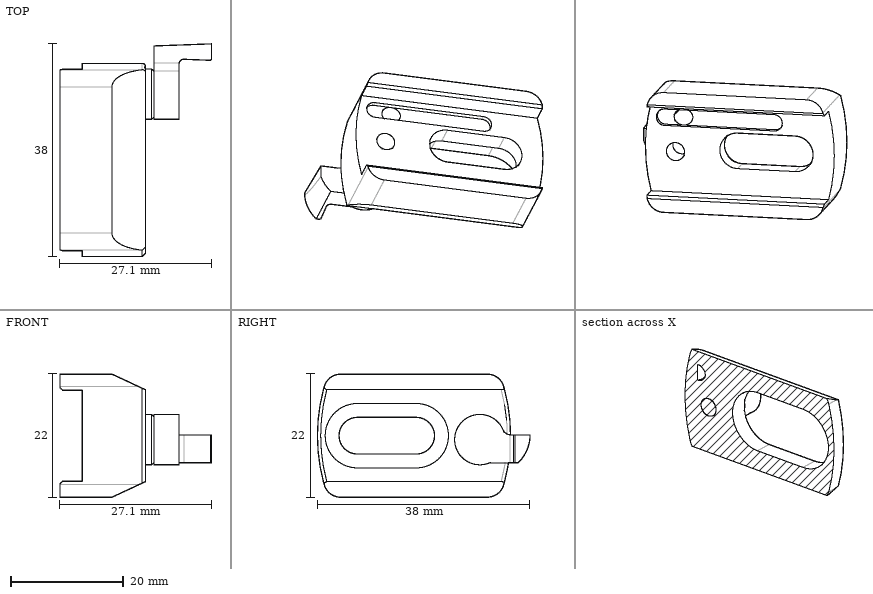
import cadquery as cq
import math

HOUSING_DEPTH = 15.3
HOUSING_LENGTH = 34.5
HOUSING_HEIGHT = 22.0
END_RADIUS = 32.0
CORNER_RADIUS = 3.1

CHANNEL_DEPTH = 4.0
CHANNEL_HEIGHT = 16.2
LIP_CHAMFER = 0.5

BEVEL_START = 9.3
BEVEL_ANGLE = 25.0
BACK_EDGE_SIZE = 0.6

SLOT_Y = -4.85
SLOT_LENGTH = 17.0
SLOT_WIDTH = 6.5
SLOT_LAND = 4.0
SLOT_STEP = 2.5

GROOVE_Y = 3.75
GROOVE_Z = 5.5
GROOVE_LENGTH = 23.0
GROOVE_WIDTH = 3.0
GROOVE_DEPTH = 1.0
SLANT_HOLE_DIAMETER = GROOVE_WIDTH
SLANT_HOLE_Y = 10.5
SLANT_HOLE_DEPTH = 8.0
SLANT_ANGLE = 28.0

PIVOT_Y = 11.75
PIVOT_Z = -0.7
PIVOT_DIAMETER = 3.3
PIN_INSERTION = 6.0

COLLAR_DIAMETER = 9.0
COLLAR_THICKNESS = 1.5
COLLAR_CHAMFER = 0.4

HUB_RADIUS = COLLAR_DIAMETER / 2
HUB_THICKNESS = 4.5
HUB_START = HOUSING_DEPTH + COLLAR_THICKNESS
HUB_END = HUB_START + HUB_THICKNESS
LEVER_TIP_X = 27.1

ARM_TOP = 0.85
ARM_HEIGHT = 5.0
ARM_REACH = 8.99
ARM_NOSE_RADIUS = 6.85
ARM_ROOT_Y = 8.62
ARM_INNER_ROOT_Y = 6.23
ARM_INNER_TIP_Y = 6.0
ARM_INNER_FILLET = 0.8
ARM_TIP_CHAMFER = 0.25
HUB_BLEND_RADIUS = 1.5


def pivot_plane(x):
    return cq.Plane(origin=(x, PIVOT_Y, PIVOT_Z), xDir=(0, 1, 0), normal=(1, 0, 0))


def slot_cutter(x, y, z, length, width, depth):
    return cq.Workplane("YZ", origin=(x, y, z)).slot2D(length, width).extrude(depth)


def housing_blank():
    """Block with bulged ends and rounded long edges."""
    half_length = HOUSING_LENGTH / 2
    half_height = HOUSING_HEIGHT / 2
    sagitta = END_RADIUS - math.sqrt(END_RADIUS**2 - half_height**2)
    corner_y = half_length - sagitta
    return (
        cq.Workplane("YZ")
        .moveTo(-corner_y, half_height)
        .lineTo(corner_y, half_height)
        .threePointArc((half_length, 0), (corner_y, -half_height))
        .lineTo(-corner_y, -half_height)
        .threePointArc((-half_length, 0), (-corner_y, half_height))
        .close()
        .extrude(HOUSING_DEPTH)
        .edges("|X")
        .fillet(CORNER_RADIUS)
    )


def housing_section():
    """XZ outline of the channel with bevelled back, run along the whole length."""
    half_height = HOUSING_HEIGHT / 2
    half_channel = CHANNEL_HEIGHT / 2
    back_z = half_height - (HOUSING_DEPTH - BEVEL_START) * math.tan(math.radians(BEVEL_ANGLE))
    upper = [
        (CHANNEL_DEPTH, half_channel),
        (LIP_CHAMFER, half_channel),
        (0, half_channel + LIP_CHAMFER),
        (0, half_height),
        (BEVEL_START, half_height),
        (HOUSING_DEPTH, back_z),
    ]
    lower = [(x, -z) for x, z in reversed(upper)]
    return cq.Workplane("XZ").polyline(upper + lower).close().extrude(HOUSING_LENGTH / 2, both=True)


def stepped_slot():
    land = slot_cutter(0, SLOT_Y, 0, SLOT_LENGTH, SLOT_WIDTH, HOUSING_DEPTH)
    pocket = slot_cutter(
        CHANNEL_DEPTH + SLOT_LAND, SLOT_Y, 0,
        SLOT_LENGTH + 2 * SLOT_STEP, SLOT_WIDTH + 2 * SLOT_STEP, HOUSING_DEPTH,
    )
    return land.union(pocket)


def slanted_hole():
    """Blind hole starting at the channel floor and leaning towards +Y."""
    slant = math.radians(SLANT_ANGLE)
    direction = cq.Vector(math.cos(slant), math.sin(slant), 0)
    mouth = cq.Vector(CHANNEL_DEPTH + GROOVE_DEPTH, SLANT_HOLE_Y, GROOVE_Z)
    start = mouth - direction * SLANT_HOLE_DIAMETER
    plane = cq.Plane(origin=start, xDir=(0, 0, 1), normal=direction)
    return cq.Workplane(plane).circle(SLANT_HOLE_DIAMETER / 2).extrude(SLANT_HOLE_DIAMETER + SLANT_HOLE_DEPTH)


def make_housing():
    body = housing_blank().intersect(housing_section())
    body = body.faces(">X").edges("<Y").chamfer(BACK_EDGE_SIZE)
    body = body.faces(">X").edges(">Y").fillet(BACK_EDGE_SIZE)
    groove = slot_cutter(CHANNEL_DEPTH, GROOVE_Y, GROOVE_Z, GROOVE_LENGTH, GROOVE_WIDTH, GROOVE_DEPTH)
    pivot_bore = cq.Workplane(pivot_plane(0)).circle(PIVOT_DIAMETER / 2).extrude(HOUSING_DEPTH)
    return body.cut(stepped_slot()).cut(groove).cut(slanted_hole()).cut(pivot_bore)


def make_collar():
    """Spacer ring around the pivot pin, chamfered towards the lever."""
    plane = pivot_plane(HOUSING_DEPTH)
    ring = cq.Workplane(plane).circle(COLLAR_DIAMETER / 2).extrude(COLLAR_THICKNESS)
    ring = ring.faces(">X").chamfer(COLLAR_CHAMFER)
    bore = cq.Workplane(plane).circle(PIVOT_DIAMETER / 2).extrude(COLLAR_THICKNESS)
    return ring.cut(bore)


def arm_side_profile():
    """YZ shape of the arm: flat top and bottom, round nose, blended into the hub."""
    arm_bottom = ARM_TOP - ARM_HEIGHT
    nose_y = ARM_REACH - ARM_NOSE_RADIUS
    nose_end = -math.asin(ARM_HEIGHT / ARM_NOSE_RADIUS)
    nose_mid = nose_end / 2
    blend_z = ARM_TOP + HUB_BLEND_RADIUS
    blend_distance = HUB_RADIUS + HUB_BLEND_RADIUS
    blend_y = math.sqrt(blend_distance**2 - blend_z**2)
    contact = HUB_RADIUS / blend_distance
    blend_start = math.atan2(-blend_z, -blend_y)
    blend_mid = (blend_start - math.pi / 2) / 2
    return (
        cq.Workplane(pivot_plane(HUB_START))
        .lineTo(blend_y * contact, blend_z * contact)
        .threePointArc(
            (
                blend_y + HUB_BLEND_RADIUS * math.cos(blend_mid),
                blend_z + HUB_BLEND_RADIUS * math.sin(blend_mid),
            ),
            (blend_y, ARM_TOP),
        )
        .lineTo(ARM_REACH, ARM_TOP)
        .threePointArc(
            (
                nose_y + ARM_NOSE_RADIUS * math.cos(nose_mid),
                ARM_TOP + ARM_NOSE_RADIUS * math.sin(nose_mid),
            ),
            (nose_y + ARM_NOSE_RADIUS * math.cos(nose_end), arm_bottom),
        )
        .lineTo(0, arm_bottom)
        .close()
        .extrude(LEVER_TIP_X - HUB_START)
    )


def arm_plan_profile():
    """XY shape of the arm: an L that flares slightly towards its tip."""
    outline = [
        (HUB_START, PIVOT_Y),
        (HUB_END, PIVOT_Y),
        (HUB_END, PIVOT_Y + ARM_INNER_ROOT_Y),
        (LEVER_TIP_X, PIVOT_Y + ARM_INNER_TIP_Y),
        (LEVER_TIP_X, PIVOT_Y + ARM_REACH),
        (HUB_START, PIVOT_Y + ARM_ROOT_Y),
    ]
    inner_corner = cq.selectors.NearestToPointSelector((HUB_END, PIVOT_Y + ARM_INNER_ROOT_Y, PIVOT_Z))
    tip_corner = cq.selectors.NearestToPointSelector((LEVER_TIP_X, PIVOT_Y + ARM_INNER_TIP_Y, PIVOT_Z))
    return (
        cq.Workplane("XY", origin=(0, 0, PIVOT_Z))
        .polyline(outline)
        .close()
        .extrude(HUB_RADIUS, both=True)
        .edges(inner_corner)
        .fillet(ARM_INNER_FILLET)
        .edges(tip_corner)
        .chamfer(ARM_TIP_CHAMFER)
    )


def make_lever():
    """Hub with its pivot pin and cranked arm."""
    hub = cq.Workplane(pivot_plane(HUB_START)).circle(HUB_RADIUS).extrude(HUB_THICKNESS)
    pin_length = COLLAR_THICKNESS + PIN_INSERTION
    pin = cq.Workplane(pivot_plane(HUB_START)).circle(PIVOT_DIAMETER / 2).extrude(-pin_length)
    arm = arm_side_profile().intersect(arm_plan_profile())
    return hub.union(arm).union(pin)


housing = make_housing()
collar = make_collar()
lever = make_lever()

result = cq.Compound.makeCompound([housing.val(), collar.val(), lever.val()])